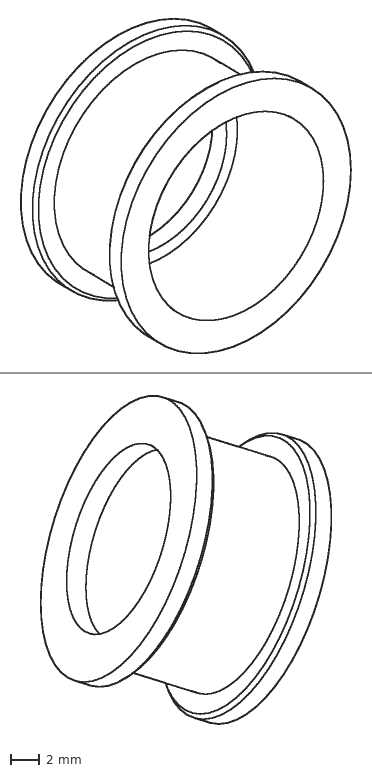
import cadquery as cq

length = 11.2
flange_diameter = 21.0
barrel_diameter = 17.5

flange_width = 1.6
flange_chamfer = 0.3

lip_diameter = 14.0
counterbore_diameter = 15.97
lip_width = 1.6

half_length = length / 2


def cylinder(diameter, start, width):
    """Cylinder along +X beginning at x = start."""
    return cq.Workplane("YZ", origin=(start, 0, 0)).circle(diameter / 2).extrude(width)


def make_flange(start, inner_face):
    """End flange whose rim is chamfered on the face towards the barrel."""
    flange = cylinder(flange_diameter, start, flange_width)
    return flange.faces(inner_face).edges().chamfer(flange_chamfer)


def make_body():
    """Solid spool: barrel between two flanges."""
    barrel = cylinder(barrel_diameter, -half_length, length)
    left_flange = make_flange(-half_length, ">X")
    right_flange = make_flange(half_length - flange_width, "<X")
    return barrel.union(left_flange).union(right_flange)


def make_bore():
    """Through bore, widened from behind the lip to the +X end."""
    through = cylinder(lip_diameter, -half_length, length)
    counterbore = cylinder(counterbore_diameter, -half_length + lip_width, length - lip_width)
    return through.union(counterbore)


result = make_body().cut(make_bore())